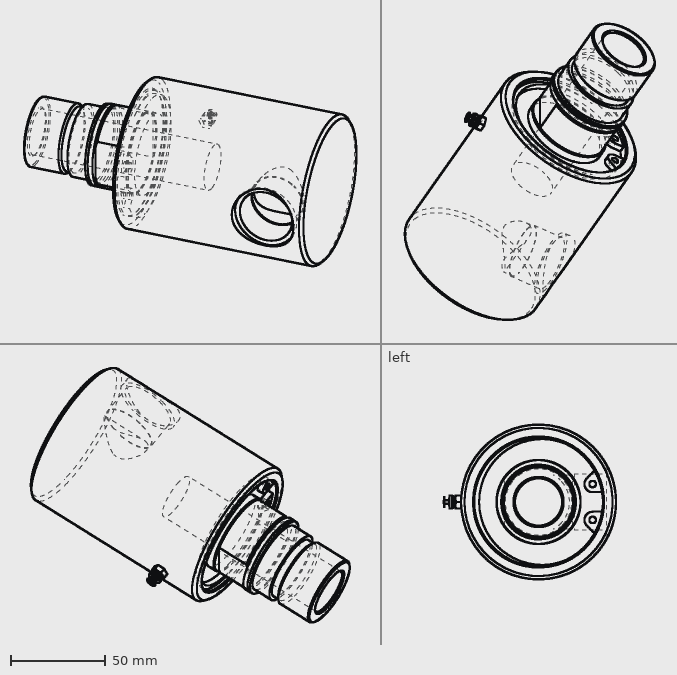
import cadquery as cq
import math

total_length = 166.5
body_diameter = 82.0
body_start = 58.5
body_chamfer = 1.8

thread_diameter = 38.1
thread_chamfer = 0.7
undercut_diameter = 35.1
undercut_chamfer_start = 19.8
undercut_start = 21.0
shoulder_start = 25.1
shoulder_diameter = 39.6
flange_start = 36.1
flange_joint = 37.6
flange_end = 40.3
flange_diameter = 44.6
joint_diameter = 44.5
shaft_start = 41.5
shaft_groove_diameter = 40.1
flats_end = 59.1
seat_groove_width = 0.7
seat_groove_diameter = 44.0
flats_width = 36.0
bore_diameter = 25.0
bore_chamfer = 0.8
bore_depth = 99.9

recess_diameter = 68.0
recess_chamfer = 0.7
ring_front = 61.0
recess_floor = 64.2
ring_inner_radius = 33.3
ring_offset = 1.8
lug_radius = 4.3
lug_hole_diameter = 3.5
lug_y = -28.6
lug_z = 9.5

port_x = 144.0
port_diameter = 28.6
mouth_diameter = 29.6
mouth_end_y = -19.1
spotface_diameter = 35.0
spotface_y = -36.0
core_diameter = 32.6

nipple_x = 80.4
hex_corner_diameter = 8.2
hex_height = 3.0
hex_chamfer = 0.5
neck_diameter = 5.3
neck_top = 3.8
collar_diameter = 7.0
collar_bottom = 4.8
collar_top = 6.2
seat_diameter = 3.5
seat_top = 6.5
pin_diameter = 2.0
cap_diameter = 5.3
cap_bottom = 8.8
cap_top = 9.0
nipple_height = 9.3
hex_root = 1.7

body_radius = body_diameter / 2


def x_cylinder(diameter, start, end):
    """Solid cylinder on the X axis between two X positions."""
    return cq.Workplane("YZ", origin=(start, 0, 0)).circle(diameter / 2).extrude(end - start)


def inward_cylinder(diameter, start_y, end_y):
    """Cylinder on the port axis from start_y inwards to end_y."""
    plane = cq.Plane(origin=(port_x, start_y, 0), xDir=(1, 0, 0), normal=(0, 1, 0))
    return cq.Workplane(plane).circle(diameter / 2).extrude(end_y - start_y)


def make_housing():
    housing = x_cylinder(body_diameter, body_start, total_length).edges().chamfer(body_chamfer)
    recess = x_cylinder(recess_diameter, body_start, recess_floor)
    housing = housing.cut(recess)
    rim = housing.faces("<X").edges("%CIRCLE").edges(cq.selectors.RadiusNthSelector(0))
    return rim.chamfer(recess_chamfer)


def make_shaft():
    thread_radius = thread_diameter / 2
    profile = [
        (0, 0),
        (0, thread_radius - thread_chamfer),
        (thread_chamfer, thread_radius),
        (undercut_chamfer_start, thread_radius),
        (undercut_start, undercut_diameter / 2),
        (shoulder_start, undercut_diameter / 2),
        (shoulder_start, shoulder_diameter / 2),
        (flange_start, shoulder_diameter / 2),
        (flange_start, joint_diameter / 2),
        (flange_joint, joint_diameter / 2),
        (flange_joint, flange_diameter / 2),
        (flange_end, flange_diameter / 2),
        (flange_end, shaft_groove_diameter / 2),
        (shaft_start, flange_diameter / 2),
        (flats_end, flange_diameter / 2),
        (flats_end, seat_groove_diameter / 2),
        (flats_end + seat_groove_width, seat_groove_diameter / 2),
        (flats_end + seat_groove_width, flange_diameter / 2),
        (recess_floor, flange_diameter / 2),
        (recess_floor, 0),
    ]
    shaft = cq.Workplane("XY").polyline(profile).close().revolve(360, (0, 0, 0), (1, 0, 0))
    flats_length = flats_end - flange_end
    cutter = cq.Workplane("XY").box(flats_length, flange_diameter, flange_diameter)
    for side in (1, -1):
        center_y = side * (flats_width + flange_diameter) / 2
        shaft = shaft.cut(cutter.translate((flange_end + flats_length / 2, center_y, 0)))
    return shaft


def make_lug():
    """Ring lug above the XY plane: round nose, one side along Y, the other flaring at 45 degrees."""
    thickness = recess_floor - ring_front
    plane = cq.Workplane("YZ", origin=(ring_front, 0, 0))
    wall_y = -recess_diameter / 2
    nose_step = lug_radius * math.sqrt(0.5)
    flare_start = (lug_y + nose_step, lug_z + nose_step)
    flare_length = flare_start[0] - wall_y
    outline = [
        (lug_y, lug_z - lug_radius),
        (wall_y, lug_z - lug_radius),
        (wall_y, flare_start[1] + flare_length),
        flare_start,
        (lug_y, lug_z),
    ]
    nose = plane.center(lug_y, lug_z).circle(lug_radius).extrude(thickness)
    web = plane.polyline(outline).close().extrude(thickness)
    return nose.union(web).intersect(x_cylinder(recess_diameter, ring_front, recess_floor))


def make_retaining_ring():
    ring = x_cylinder(recess_diameter, ring_front, recess_floor)
    opening = x_cylinder(2 * ring_inner_radius, ring_front, recess_floor)
    ring = ring.cut(opening.translate((0, -ring_offset, 0)))
    lug = make_lug()
    ring = ring.union(lug).union(lug.mirror("XY"))
    for z in (lug_z, -lug_z):
        hole = x_cylinder(lug_hole_diameter, ring_front, recess_floor)
        ring = ring.cut(hole.translate((0, lug_y, z)))
    return ring


def make_port():
    """Cutter for the stepped port; its floor is the round core that stays inside the housing."""
    spotface = inward_cylinder(spotface_diameter, -body_radius, spotface_y)
    mouth = inward_cylinder(mouth_diameter, spotface_y, mouth_end_y)
    hole = inward_cylinder(port_diameter, spotface_y, 0)
    hole = hole.cut(x_cylinder(core_diameter, body_start, total_length))
    return spotface.union(mouth).union(hole)


def make_nipple():
    root_y = body_radius - hex_root
    plane = cq.Plane(origin=(nipple_x, root_y, 0), xDir=(1, 0, 0), normal=(0, 1, 0))
    hex_length = hex_root + hex_height
    hexagon = cq.Workplane(plane).polygon(6, hex_corner_diameter).extrude(hex_length)
    rounding = cq.Workplane(plane).circle(hex_corner_diameter / 2).extrude(hex_length)
    hexagon = hexagon.intersect(rounding.faces(">Y").chamfer(hex_chamfer))
    profile = [
        (0, 0),
        (neck_diameter / 2, 0),
        (neck_diameter / 2, neck_top),
        (collar_diameter / 2, collar_bottom),
        (collar_diameter / 2, collar_top),
        (seat_diameter / 2, collar_top),
        (seat_diameter / 2, seat_top),
        (pin_diameter / 2, seat_top),
        (pin_diameter / 2, cap_bottom),
        (cap_diameter / 2, cap_bottom),
        (cap_diameter / 2, cap_top),
        (pin_diameter / 2, cap_top),
        (0, nipple_height),
    ]
    stem = cq.Workplane("XY").polyline(profile).close().revolve(360, (0, 0, 0), (0, 1, 0))
    return hexagon.union(stem.translate((nipple_x, body_radius, 0)))


def make_bore():
    """Cutter for the blind shaft bore with its chamfered mouth."""
    radius = bore_diameter / 2
    profile = [
        (0, 0),
        (0, radius + bore_chamfer),
        (bore_chamfer, radius),
        (bore_depth, radius),
        (bore_depth, 0),
    ]
    return cq.Workplane("XY").polyline(profile).close().revolve(360, (0, 0, 0), (1, 0, 0))


result = make_housing().union(make_shaft()).union(make_retaining_ring())
result = result.cut(make_bore()).cut(make_port()).union(make_nipple())